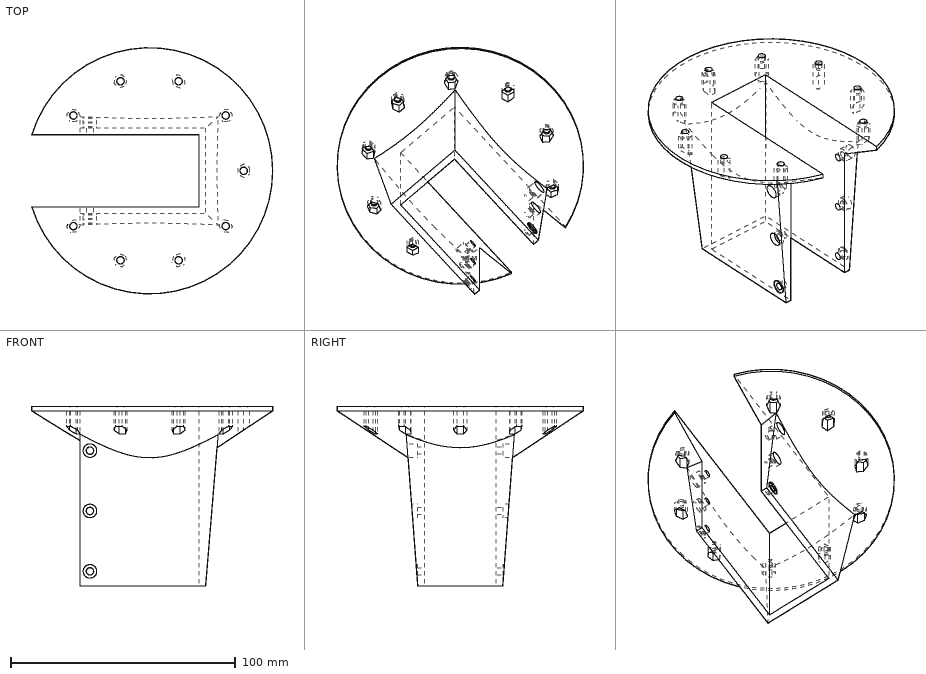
import cadquery as cq

flange_radius = 54.9
rim_thickness = 2.0
cone_height = 36.3
total_height = 80.0

base_half_width = 19.0
base_right = 25.0
side_taper = 6.0
top_half_width = base_half_width + side_taper
top_right = 31.6
block_left = -31.1

slot_half_width = 16.0
slot_end = 22.0

hole_diameter = 3.2
flange_hole_spacing = 36
holes_per_side = 4
bolt_circle_radius = 41.9
nut_across_corners = 6.0
nut_seat_depth = rim_thickness

counterbore_diameter = 6.0
wall_under_screw_head = 3.1
counterbore_floor = slot_half_width + wall_under_screw_head
cross_hole_inset = 4.5
cross_hole_x = block_left + cross_hole_inset
lowest_cross_hole = 6.6
cross_hole_pitch = 26.9
cross_hole_count = 3


def make_flange():
    """Disc rim and the cone beneath it, revolved about Z."""
    return (
        cq.Workplane("XZ")
        .lineTo(flange_radius, 0)
        .lineTo(flange_radius, -rim_thickness)
        .lineTo(0, -rim_thickness - cone_height)
        .close()
        .revolve(360, (0, 0), (0, 1))
    )


def make_leg_block():
    """Overlap of the tapered X profile and the tapered Y profile."""
    x_profile = [
        (block_left, 0),
        (top_right, 0),
        (base_right, -total_height),
        (block_left, -total_height),
    ]
    y_profile = [
        (-top_half_width, 0),
        (top_half_width, 0),
        (base_half_width, -total_height),
        (-base_half_width, -total_height),
    ]
    along_y = cq.Workplane("XZ").polyline(x_profile).close().extrude(flange_radius, both=True)
    along_x = cq.Workplane("YZ").polyline(y_profile).close().extrude(flange_radius, both=True)
    return along_y.intersect(along_x)


def make_slot():
    """Full-height rectangular opening from the -X side to the slot end."""
    return (
        cq.Workplane("XY", origin=(-flange_radius, 0, -total_height))
        .box(slot_end + flange_radius, 2 * slot_half_width, total_height, centered=(False, True, False))
    )


def make_flange_hole(angle):
    """Screw hole and nut pocket, with two pocket flats square to the radius."""
    hole = cq.Workplane("XY").circle(hole_diameter / 2).extrude(-cone_height)
    pocket = (
        cq.Workplane("XY")
        .workplane(offset=-nut_seat_depth)
        .polygon(6, nut_across_corners)
        .extrude(-cone_height)
        .rotate((0, 0, 0), (0, 0, 1), 90)
    )
    return (
        hole.union(pocket)
        .translate((bolt_circle_radius, 0, 0))
        .rotate((0, 0, 0), (0, 0, 1), angle)
    )


def make_cross_hole(z):
    """Hole through both legs with a counterbore on each outer face."""
    hole = cq.Workplane("XZ").circle(hole_diameter / 2).extrude(flange_radius, both=True)
    for side in (-1, 1):
        counterbore = (
            cq.Workplane("XZ", origin=(0, side * counterbore_floor, 0))
            .circle(counterbore_diameter / 2)
            .extrude(-side * (top_half_width - counterbore_floor))
        )
        hole = hole.union(counterbore)
    return hole.translate((cross_hole_x, 0, z))


result = make_flange().union(make_leg_block()).cut(make_slot())
for index in range(-holes_per_side, holes_per_side + 1):
    result = result.cut(make_flange_hole(index * flange_hole_spacing))
for index in range(cross_hole_count):
    height_above_base = lowest_cross_hole + index * cross_hole_pitch
    result = result.cut(make_cross_hole(height_above_base - total_height))